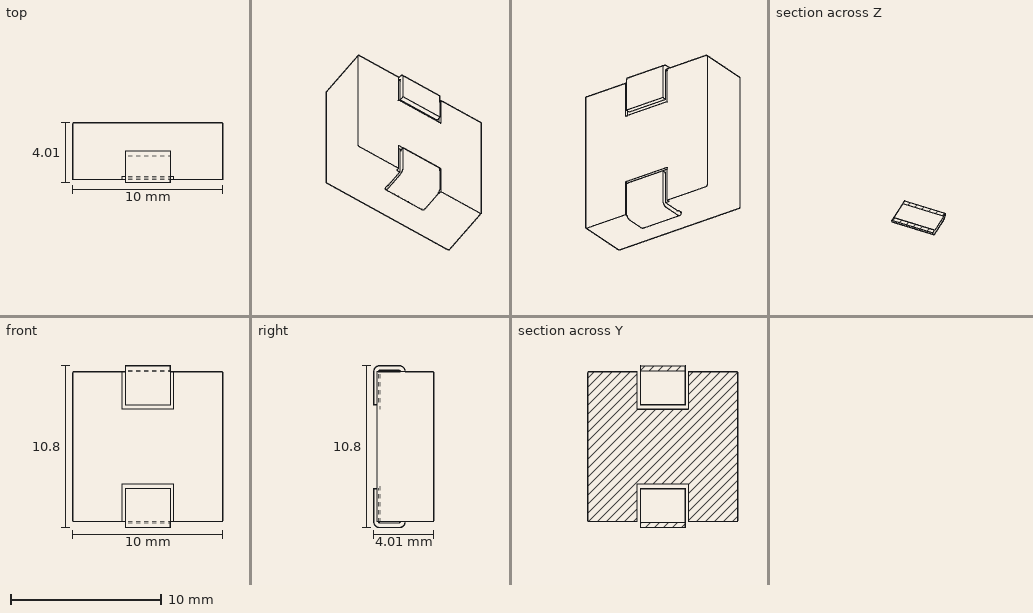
import cadquery as cq

BODY_SIDE = 10.0
BODY_DEPTH = 3.8
BODY_EDGE_RADIUS = 0.1

TERMINAL_WIDTH = 3.0
TERMINAL_THICKNESS = 0.325
BEND_RADIUS = 0.4
TERMINAL_RISE = 0.399
TERMINAL_STANDOFF = 0.206
TERMINAL_REACH = 2.1
PAD_END = 2.79
ROOT_DEPTH = 0.5

POCKET_WIDTH = 3.42
POCKET_LENGTH = 2.5
POCKET_DEPTH = 0.21

HALF_SIDE = BODY_SIDE / 2


def make_body():
    """Block with all edges rounded except those around the front face."""
    body = cq.Workplane("XY").box(
        BODY_SIDE, BODY_DEPTH, BODY_SIDE, centered=(True, False, True)
    )
    return body.edges("|Y or >Y").fillet(BODY_EDGE_RADIUS)


def make_pocket():
    """Recess cutter for the upper terminal."""
    return cq.Workplane("XY").box(
        POCKET_WIDTH, POCKET_DEPTH, POCKET_LENGTH, centered=(True, False, False)
    ).translate((0, 0, HALF_SIDE - POCKET_LENGTH))


def make_terminal():
    """Upper terminal: front pad, crossbar over the body side and embedded rear leg."""
    front = -TERMINAL_STANDOFF
    rear = front + TERMINAL_REACH
    top = HALF_SIDE + TERMINAL_RISE
    root = HALF_SIDE - ROOT_DEPTH
    inner_front = front + TERMINAL_THICKNESS
    inner_rear = rear - TERMINAL_THICKNESS
    inner_top = top - TERMINAL_THICKNESS
    inner_radius = BEND_RADIUS - TERMINAL_THICKNESS

    profile = (
        cq.Workplane("YZ")
        .moveTo(front, PAD_END)
        .lineTo(front, top - BEND_RADIUS)
        .radiusArc((front + BEND_RADIUS, top), BEND_RADIUS)
        .lineTo(rear - BEND_RADIUS, top)
        .radiusArc((rear, top - BEND_RADIUS), BEND_RADIUS)
        .lineTo(rear, root)
        .lineTo(inner_rear, root)
        .lineTo(inner_rear, inner_top - inner_radius)
        .radiusArc((inner_rear - inner_radius, inner_top), -inner_radius)
        .lineTo(inner_front + inner_radius, inner_top)
        .radiusArc((inner_front, inner_top - inner_radius), -inner_radius)
        .lineTo(inner_front, PAD_END)
        .close()
    )
    return profile.extrude(TERMINAL_WIDTH / 2, both=True)


def on_both_sides(upper):
    """The upper shape together with its mirror image on the lower side."""
    return [upper, upper.mirror("XY")]


result = make_body()
for pocket in on_both_sides(make_pocket()):
    result = result.cut(pocket)
for terminal in on_both_sides(make_terminal()):
    result = result.union(terminal)